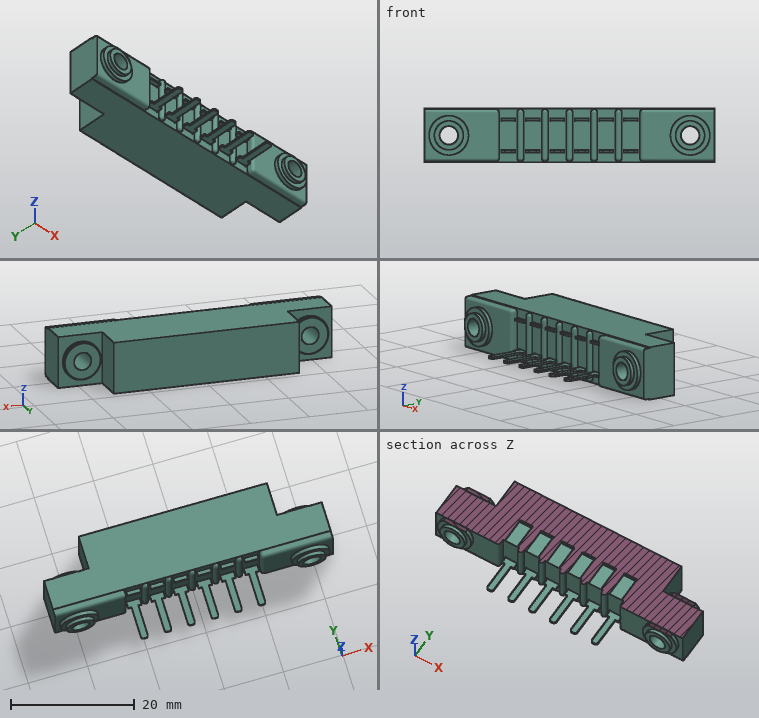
import cadquery as cq


LENGTH = 46.8
HEIGHT = 8.7
EAR_BACK_Y = 5.05
MATING_Y = 10.7
MATING_LENGTH = 31.72
OVERALL_DEPTH = 17.4

EAR_PAD_LENGTH = 12.03
EAR_PAD_DEPTH = 1.25
RELIEF_INSET = 0.15
RELIEF_HEIGHT = HEIGHT - 2 * RELIEF_INSET
EDGE_RADIUS = 0.5

CONTACT_COUNT = 6
CONTACT_ROW_LENGTH = 19.8
CONTACT_PITCH = CONTACT_ROW_LENGTH / (CONTACT_COUNT - 1)
RIB_RADIUS = EDGE_RADIUS
RIB_DEPTH = 0.7

BLADE_THICKNESS = 0.35
BLADE_WIDTH = 2.3
BLADE_OFFSET_Z = 2.6
BRIDGE_BACK_Y = 4.7
BRIDGE_FRONT_Y = BRIDGE_BACK_Y - BLADE_THICKNESS
SHOULDER_Y = -1.05
UPPER_BLADE_Y = -0.7
SLOT_CLEARANCE = 0.115
TAIL_WIDTH = 1.15
TAIL_TIP_Y = MATING_Y - OVERALL_DEPTH
TAIL_TIP_RADIUS = 0.4

EYELET_OFFSET_X = 19.45
EYELET_BORE_DIAMETER = 2.95
EYELET_BARREL_RADIUS = 2.35
EYELET_FLANGE_RADIUS = 3.2
EYELET_FLANGE_DEPTH = 0.7
EYELET_COLLAR_DEPTH = 0.65
EYELET_EDGE_CHAMFER = 0.15


def box(x_range, y_range, z_range):
    """Axis-aligned box between the given limits."""
    size = [high - low for low, high in (x_range, y_range, z_range)]
    return cq.Workplane("XY").box(*size, centered=False).translate(
        (x_range[0], y_range[0], z_range[0])
    )


def span(width, centre=0.0):
    """Limits of a width placed symmetrically about a centre."""
    return (centre - width / 2, centre + width / 2)


def row(count):
    """X positions of a centred row at the contact pitch."""
    return [(i - (count - 1) / 2) * CONTACT_PITCH for i in range(count)]


def disc(radius, y_front, y_back, x):
    """Cylinder along Y."""
    return (
        cq.Workplane("XZ", origin=(x, y_front, 0))
        .circle(radius)
        .extrude(y_front - y_back)
    )


def make_ear_pad(side):
    """Raised pad on one ear, rounded on every front edge except at the housing end."""
    outer_x = side * LENGTH / 2
    inner_x = outer_x - side * EAR_PAD_LENGTH
    pad = box(sorted((inner_x, outer_x)), (-EAR_PAD_DEPTH, 0), span(RELIEF_HEIGHT))
    inner_face = "<X" if side > 0 else ">X"
    pad = pad.faces(inner_face).edges("|Y").fillet(EDGE_RADIUS)
    outer_edge = ">X" if side > 0 else "<X"
    return pad.faces("<Y").edges(f"not {outer_edge}").fillet(EDGE_RADIUS)


def make_rib(x):
    """Upright rib with a fully rounded front and domed ends."""
    axis_y = RIB_RADIUS - RIB_DEPTH
    end_z = RELIEF_HEIGHT / 2 - RIB_RADIUS
    base = (
        cq.Workplane("XZ", origin=(x, 0, 0))
        .slot2D(RELIEF_HEIGHT, 2 * RIB_RADIUS, 90)
        .extrude(-axis_y)
    )
    round_front = cq.Workplane("XY", origin=(x, axis_y, -end_z)).circle(RIB_RADIUS).extrude(2 * end_z)
    rib = base.union(round_front)
    for z in (-end_z, end_z):
        rib = rib.union(cq.Workplane("XY", origin=(x, axis_y, z)).sphere(RIB_RADIUS))
    return rib


def make_contact(x):
    """Hairpin contact whose lower blade narrows to a tail with a rounded tip."""
    width = span(BLADE_WIDTH, x)
    lower_z = span(BLADE_THICKNESS, -BLADE_OFFSET_Z)
    upper_z = span(BLADE_THICKNESS, BLADE_OFFSET_Z)
    lower_blade = box(width, (SHOULDER_Y, BRIDGE_BACK_Y), lower_z)
    upper_blade = box(width, (UPPER_BLADE_Y, BRIDGE_BACK_Y), upper_z)
    bridge = box(width, (BRIDGE_FRONT_Y, BRIDGE_BACK_Y), (lower_z[0], upper_z[1]))
    tail = box(span(TAIL_WIDTH, x), (TAIL_TIP_Y, SHOULDER_Y), lower_z)
    tail = tail.faces("<Y").edges("|Z").fillet(TAIL_TIP_RADIUS)
    return lower_blade.union(upper_blade).union(bridge).union(tail)


def make_contact_cavity(x):
    """Space for one contact: a slot for each blade, joined at the back for the bridge."""
    width = span(BLADE_WIDTH, x)
    outer_z = BLADE_OFFSET_Z + BLADE_THICKNESS / 2
    inner_z = BLADE_OFFSET_Z - BLADE_THICKNESS / 2 - SLOT_CLEARANCE
    cavity = box(width, (0, BRIDGE_BACK_Y), span(2 * outer_z))
    core = box(width, (0, BRIDGE_FRONT_Y), span(2 * inner_z))
    return cavity.cut(core)


def make_eyelet(x):
    """Flanged tube through one ear, with a stepped collar at the front."""
    flange_front_y = -EAR_PAD_DEPTH - EYELET_FLANGE_DEPTH
    collar_front_y = flange_front_y - EYELET_COLLAR_DEPTH
    back_y = EAR_BACK_Y + EYELET_FLANGE_DEPTH
    barrel = disc(EYELET_BARREL_RADIUS, collar_front_y, back_y, x)
    front_flange = disc(EYELET_FLANGE_RADIUS, flange_front_y, -EAR_PAD_DEPTH, x)
    back_flange = disc(EYELET_FLANGE_RADIUS, EAR_BACK_Y, back_y, x)
    back_flange = back_flange.faces(">Y").edges().chamfer(EYELET_EDGE_CHAMFER)
    bore = disc(EYELET_BORE_DIAMETER / 2, collar_front_y, back_y, x)
    return barrel.union(front_flange).union(back_flange).cut(bore)


def make_housing():
    """Block with ears, raised pads and ribs, hollowed for the contacts and eyelets."""
    body = box(span(LENGTH), (0, EAR_BACK_Y), span(HEIGHT))
    body = body.union(box(span(MATING_LENGTH), (0, MATING_Y), span(HEIGHT)))
    for side in (-1, 1):
        body = body.union(make_ear_pad(side))
    for x in row(CONTACT_COUNT - 1):
        body = body.union(make_rib(x))
    for x in row(CONTACT_COUNT):
        body = body.cut(make_contact_cavity(x))
    for side in (-1, 1):
        body = body.cut(
            disc(EYELET_BARREL_RADIUS, -EAR_PAD_DEPTH, EAR_BACK_Y, side * EYELET_OFFSET_X)
        )
    return body


housing = make_housing()
contacts = [make_contact(x) for x in row(CONTACT_COUNT)]
eyelets = [make_eyelet(side * EYELET_OFFSET_X) for side in (-1, 1)]

result = cq.Compound.makeCompound(
    [housing.val(), *(contact.val() for contact in contacts), *(eyelet.val() for eyelet in eyelets)]
)